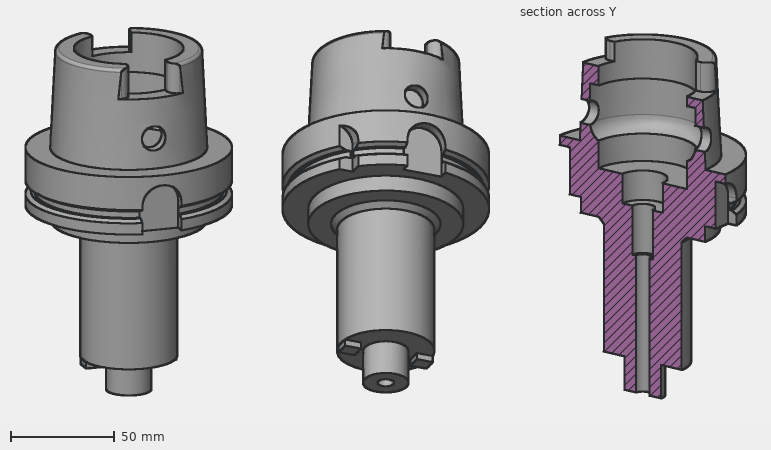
import cadquery as cq
import math


TAPER_LENGTH = 50.0
TAPER_BASE_DIAMETER = 76.0
TAPER_RATIO = 0.1
TAPER_TIP_DIAMETER = TAPER_BASE_DIAMETER - TAPER_RATIO * TAPER_LENGTH
RIM_FILLET = 1.75

FLANGE_DIAMETER = 100.0
FLANGE_THICKNESS = 29.0
GROOVE_CENTER_Z = -20.0
GROOVE_FLOOR_WIDTH = 3.75
GROOVE_MOUTH_WIDTH = 6.75
GROOVE_LEDGE_DIAMETER = 94.8
GROOVE_FLOOR_DIAMETER = 91.5

COLLAR_DIAMETER = 75.0
COLLAR_BOTTOM_Z = -37.0
BODY_DIAMETER = 47.0
BODY_CHAMFER = 3.0
BODY_BOTTOM_Z = -105.0
PILOT_DIAMETER = 22.0
PILOT_BOTTOM_Z = -122.0

MOUTH_BORE_DIAMETER = 53.0
CLAMP_LEDGE_Z = 30.0
CLAMP_CHAMBER_DIAMETER = 63.0
CHAMBER_FILLET = 9.0
CHAMBER_WALL_BOTTOM_Z = 10.0
BORE_FLOOR_Z = -12.0
COOLANT_BORE_DIAMETER = 24.0
COOLANT_BORE_DEPTH = 15.0
SCREW_CLEARANCE_DIAMETER = 12.0
SCREW_CLEARANCE_DEPTH = 25.0
THROUGH_HOLE_DIAMETER = 8.0

DRIVE_SLOT_WIDTH = 20.0
DRIVE_SLOT_CORNER_RADIUS = 5.0
DRIVE_SLOT_CORNER_CENTER_X = 27.25
DRIVE_SLOT_DEPTHS = {-1: 10.0, 1: 15.0}

CROSS_HOLE_DIAMETER = 12.0
CROSS_HOLE_Z = 15.0

NOTCH_WIDTH = 20.0
NOTCH_TOP_Z = -5.0
SIDE_NOTCH_FLOOR_X = 44.0
INDEX_NOTCH_FLOOR_X = 32.0
INDEX_NOTCH_Y = 41.5

LUG_WIDTH = 8.0
LUG_HEIGHT = 3.3
LUG_INNER_Y = 14.7
LUG_OUTER_Y = 23.15


def make_turned_body():
    """Revolve the outer profile of the taper, flange, collar, body and pilot."""
    flange_r = FLANGE_DIAMETER / 2
    ledge_r = GROOVE_LEDGE_DIAMETER / 2
    groove_r = GROOVE_FLOOR_DIAMETER / 2
    body_r = BODY_DIAMETER / 2
    body_top_z = COLLAR_BOTTOM_Z - BODY_CHAMFER
    profile = (
        cq.Workplane("XZ")
        .moveTo(0, TAPER_LENGTH)
        .lineTo(TAPER_TIP_DIAMETER / 2, TAPER_LENGTH)
        .lineTo(TAPER_BASE_DIAMETER / 2, 0)
        .lineTo(flange_r, 0)
        .lineTo(flange_r, GROOVE_CENTER_Z + GROOVE_MOUTH_WIDTH / 2)
        .lineTo(ledge_r, GROOVE_CENTER_Z + GROOVE_FLOOR_WIDTH / 2)
        .lineTo(groove_r, GROOVE_CENTER_Z + GROOVE_FLOOR_WIDTH / 2)
        .lineTo(groove_r, GROOVE_CENTER_Z - GROOVE_FLOOR_WIDTH / 2)
        .lineTo(ledge_r, GROOVE_CENTER_Z - GROOVE_FLOOR_WIDTH / 2)
        .lineTo(flange_r, GROOVE_CENTER_Z - GROOVE_MOUTH_WIDTH / 2)
        .lineTo(flange_r, -FLANGE_THICKNESS)
        .lineTo(COLLAR_DIAMETER / 2, -FLANGE_THICKNESS)
        .lineTo(COLLAR_DIAMETER / 2, COLLAR_BOTTOM_Z)
        .lineTo(body_r + BODY_CHAMFER, COLLAR_BOTTOM_Z)
        .lineTo(body_r, body_top_z)
        .lineTo(body_r, BODY_BOTTOM_Z)
        .lineTo(PILOT_DIAMETER / 2, BODY_BOTTOM_Z)
        .lineTo(PILOT_DIAMETER / 2, PILOT_BOTTOM_Z)
        .lineTo(0, PILOT_BOTTOM_Z)
        .close()
    )
    body = profile.revolve(360, (0, 0, 0), (0, 1, 0))
    return body.faces(">Z").edges().fillet(RIM_FILLET)


def make_bore():
    """Revolve the stepped bore, with its undercut clamping chamber."""
    mouth_r = MOUTH_BORE_DIAMETER / 2
    chamber_r = CLAMP_CHAMBER_DIAMETER / 2
    fillet_inner_offset = CHAMBER_FILLET - (chamber_r - mouth_r)
    fillet_drop = math.sqrt(CHAMBER_FILLET**2 - fillet_inner_offset**2)
    coolant_bottom_z = BORE_FLOOR_Z - COOLANT_BORE_DEPTH
    clearance_bottom_z = coolant_bottom_z - SCREW_CLEARANCE_DEPTH
    profile = (
        cq.Workplane("XZ")
        .moveTo(0, TAPER_LENGTH)
        .lineTo(mouth_r, TAPER_LENGTH)
        .lineTo(mouth_r, CLAMP_LEDGE_Z)
        .lineTo(chamber_r, CLAMP_LEDGE_Z)
        .lineTo(chamber_r, CHAMBER_WALL_BOTTOM_Z)
        .radiusArc((mouth_r, CHAMBER_WALL_BOTTOM_Z - fillet_drop), CHAMBER_FILLET)
        .lineTo(mouth_r, BORE_FLOOR_Z)
        .lineTo(COOLANT_BORE_DIAMETER / 2, BORE_FLOOR_Z)
        .lineTo(COOLANT_BORE_DIAMETER / 2, coolant_bottom_z)
        .lineTo(SCREW_CLEARANCE_DIAMETER / 2, coolant_bottom_z)
        .lineTo(SCREW_CLEARANCE_DIAMETER / 2, clearance_bottom_z)
        .lineTo(THROUGH_HOLE_DIAMETER / 2, clearance_bottom_z)
        .lineTo(THROUGH_HOLE_DIAMETER / 2, PILOT_BOTTOM_Z)
        .lineTo(0, PILOT_BOTTOM_Z)
        .close()
    )
    return profile.revolve(360, (0, 0, 0), (0, 1, 0))


def make_drive_slot(side):
    """Slot through the taper wall whose mouth flares out with round corners into a flat relief."""
    half_width = DRIVE_SLOT_WIDTH / 2
    flare_x = DRIVE_SLOT_CORNER_CENTER_X + DRIVE_SLOT_CORNER_RADIUS
    flare_y = half_width + DRIVE_SLOT_CORNER_RADIUS
    outer_r = TAPER_BASE_DIAMETER / 2
    signed_radius = side * DRIVE_SLOT_CORNER_RADIUS
    depth = DRIVE_SLOT_DEPTHS[side]
    return (
        cq.Workplane("XY", origin=(0, 0, TAPER_LENGTH - depth))
        .moveTo(0, -half_width)
        .lineTo(side * DRIVE_SLOT_CORNER_CENTER_X, -half_width)
        .radiusArc((side * flare_x, -flare_y), signed_radius)
        .lineTo(side * flare_x, -outer_r)
        .lineTo(side * outer_r, -outer_r)
        .lineTo(side * outer_r, outer_r)
        .lineTo(side * flare_x, outer_r)
        .lineTo(side * flare_x, flare_y)
        .radiusArc((side * DRIVE_SLOT_CORNER_CENTER_X, half_width), signed_radius)
        .lineTo(0, half_width)
        .close()
        .extrude(depth)
    )


def make_cross_hole():
    """Radial hole along X through both walls of the taper."""
    return (
        cq.Workplane("YZ", origin=(0, 0, CROSS_HOLE_Z))
        .circle(CROSS_HOLE_DIAMETER / 2)
        .extrude(TAPER_BASE_DIAMETER / 2, both=True)
    )


def make_flange_notch(side, floor_x, center_y):
    """Round-topped notch cut along X from the flange edge to a flat floor."""
    radius = NOTCH_WIDTH / 2
    arch_z = NOTCH_TOP_Z - radius
    return (
        cq.Workplane("YZ", origin=(side * floor_x, 0, 0))
        .moveTo(center_y - radius, -FLANGE_THICKNESS)
        .lineTo(center_y - radius, arch_z)
        .threePointArc((center_y, NOTCH_TOP_Z), (center_y + radius, arch_z))
        .lineTo(center_y + radius, -FLANGE_THICKNESS)
        .close()
        .extrude(side * (FLANGE_DIAMETER / 2 - floor_x))
    )


def make_lug(side):
    """Driving lug hanging below the arbor body."""
    length = LUG_OUTER_Y - LUG_INNER_Y
    return (
        cq.Workplane("XY", origin=(0, side * (LUG_INNER_Y + length / 2), BODY_BOTTOM_Z))
        .rect(LUG_WIDTH, length)
        .extrude(-LUG_HEIGHT)
    )


result = make_turned_body().cut(make_bore()).cut(make_cross_hole())
for x_side in (-1, 1):
    result = result.cut(make_drive_slot(x_side))
    result = result.cut(make_flange_notch(x_side, SIDE_NOTCH_FLOOR_X, 0))
result = result.cut(make_flange_notch(-1, INDEX_NOTCH_FLOOR_X, INDEX_NOTCH_Y))
for y_side in (-1, 1):
    result = result.union(make_lug(y_side))